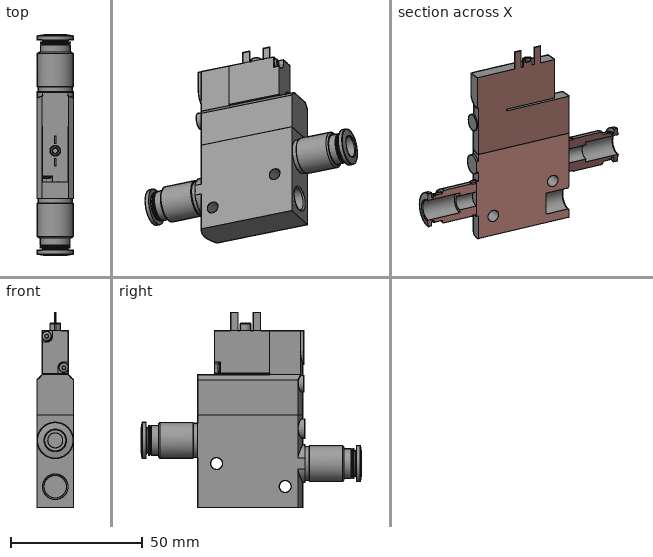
import cadquery as cq
import math


BLOCK_WIDTH = 14.0
BLOCK_SIDE_DEPTH = 37.95
BACK_BULGE = 1.9
SPLIT_HEIGHT = 35.1
BLOCK_HEIGHT = 50.4
TOP_CHAMFER_DROP = 2.0

FRONT_FITTING_HEIGHT = 25.5
BACK_FITTING_HEIGHT = 16.7
LOWER_PORT_HEIGHT = 7.95
PORT_DIAMETER = 8.5
PORT_MOUTH_DIAMETER = 9.7
PORT_DEPTH = 10.0
CROSS_HOLE_DIAMETER = 4.4
CROSS_HOLES = [(7.2, 16.7), (33.2, 8.0)]
FITTING_SEAT = 40.6
SEAT_BOSS_DIAMETER = 14.55

BACK_PAD_PLANE = 40.3
UPPER_DISC_OFFSET = 3.5
UPPER_DISC_DIAMETER = 6.35
UPPER_DISC_HEIGHT = 47.0
LOWER_DISC_OFFSET = 3.0
LOWER_DISC_DIAMETER = 7.4
LOWER_DISC_HEIGHT = 29.9
PILOT_PAD_WIDTH = 9.5
PILOT_PAD_LENGTH = 12.8

PILOT_WIDTH = 9.9
PILOT_TOP = 67.05
PILOT_FRONT = 6.35
PILOT_STEP = 27.25
PILOT_GAP = 0.5
PILOT_SIDE_RELIEF = 0.04

TERMINAL_TOP = 74.0
TERMINAL_WIDTH = 2.85
TERMINAL_THICKNESS = 0.4
TERMINAL_SPACING = 8.5
CONNECTOR_Y = 18.1

HEAD_DIAMETER = 4.0
HEAD_EDGE_DIAMETER = 3.6
SOCKET_MOUTH_DIAMETER = 2.4
SOCKET_DIAMETER = 2.0
SOCKET_DEPTH = 1.25
CONNECTOR_HEAD_HEIGHT = 2.85
CORNER_HEAD_DIAMETER = 3.6
CORNER_HEAD_HEIGHT = 0.9
CORNER_CROWN_DIAMETER = 1.6
CORNER_SOCKET_DIAMETER = 1.3
CORNER_SOCKET_DEPTH = 0.7
CORNER_HEAD_RIM = 0.3
POCKET_DIAMETER = 4.4
POCKET_DEPTH = 2.25
POCKET_SIDE_INSET = 1.7
POCKET_END_INSET = 2.1

NECK_DIAMETER = 13.0
NECK_END = 1.6
SLEEVE_BACK_BEVEL = 0.25
SLEEVE_DIAMETER = 13.7
SLEEVE_TIP_DIAMETER = 12.4
SLEEVE_CHAMFER_START = 14.3
SLEEVE_END = 14.9
RING_DIAMETER = 11.4
RING_GROOVE_DIAMETER = 10.9
RING_GROOVE_START = 17.55
RING_GROOVE_WIDTH = 0.75
RING_GROOVE_FLOOR = 0.3
RING_END = 18.65
COLLET_DIAMETER = 9.7
FLANGE_DIAMETER = 13.8
FLANGE_BACK_DIAMETER = 10.4
FLANGE_BACK_CONE = 0.3
FLANGE_START = 19.5
FLANGE_RIM_END = 20.9
FLANGE_RIM_BEVEL = 0.2
FITTING_LENGTH = 21.5
TUBE_DIAMETER = 8.0
TUBE_MOUTH_DIAMETER = 8.5
TUBE_MOUTH_DEPTH = 0.4
TUBE_STOP_DEPTH = 14.2
FLOW_DIAMETER = 5.7

HALF_WIDTH = BLOCK_WIDTH / 2
PILOT_HALF = PILOT_WIDTH / 2
BACK_APEX = BLOCK_SIDE_DEPTH + BACK_BULGE
BACK_RADIUS = (HALF_WIDTH ** 2 + BACK_BULGE ** 2) / (2 * BACK_BULGE)
BOSS_ROOT = BLOCK_SIDE_DEPTH - BACK_BULGE
PILOT_BOTTOM = BLOCK_HEIGHT + PILOT_GAP


def back_y(x):
    """Y of the arched back at a distance x from the middle plane."""
    return BACK_APEX - BACK_RADIUS + math.sqrt(BACK_RADIUS ** 2 - x ** 2)


def arched_prism(half_width, front, bottom, top):
    """Upright prism with a flat front and the common arched back."""
    return (
        cq.Workplane("XY", origin=(0, 0, bottom))
        .moveTo(-half_width, front)
        .lineTo(half_width, front)
        .lineTo(half_width, back_y(half_width))
        .threePointArc((0, BACK_APEX), (-half_width, back_y(half_width)))
        .close()
        .extrude(top - bottom)
    )


def back_boss(diameter, x, z, face):
    """Round boss growing out of the arched back up to a flat face."""
    return cq.Workplane("XZ", origin=(x, BOSS_ROOT, z)).circle(diameter / 2).extrude(BOSS_ROOT - face)


def within_width(body):
    """Trim a body to the width of the block."""
    slab = cq.Workplane("XY").box(BLOCK_WIDTH, FITTING_SEAT, PILOT_TOP, centered=(True, False, False))
    return body.intersect(slab)


def lower_port():
    """Blind port in the front face with a conical mouth."""
    mouth_depth = (PORT_MOUTH_DIAMETER - PORT_DIAMETER) / 2
    return (
        cq.Workplane("XY")
        .polyline([
            (0, 0),
            (PORT_MOUTH_DIAMETER / 2, 0),
            (PORT_DIAMETER / 2, mouth_depth),
            (PORT_DIAMETER / 2, PORT_DEPTH),
            (0, PORT_DEPTH),
        ])
        .close()
        .revolve(360, (0, 0, 0), (0, 1, 0))
        .translate((0, 0, LOWER_PORT_HEIGHT))
    )


def make_lower_block():
    block = arched_prism(HALF_WIDTH, 0, 0, SPLIT_HEIGHT)
    block = block.union(within_width(back_boss(SEAT_BOSS_DIAMETER, 0, BACK_FITTING_HEIGHT, FITTING_SEAT)))
    block = block.union(back_boss(LOWER_DISC_DIAMETER, LOWER_DISC_OFFSET, LOWER_DISC_HEIGHT, FITTING_SEAT))
    cross_holes = (
        cq.Workplane("YZ")
        .pushPoints(CROSS_HOLES)
        .circle(CROSS_HOLE_DIAMETER / 2)
        .extrude(HALF_WIDTH, both=True)
    )
    return block.cut(lower_port()).cut(cross_holes)


def make_upper_base():
    """Arched block whose two long top edges are chamfered down to the pilot width."""
    base = arched_prism(HALF_WIDTH, 0, SPLIT_HEIGHT, BLOCK_HEIGHT)
    shoulder = BLOCK_HEIGHT - TOP_CHAMFER_DROP
    section = (
        cq.Workplane("XZ")
        .polyline([
            (-HALF_WIDTH, SPLIT_HEIGHT),
            (HALF_WIDTH, SPLIT_HEIGHT),
            (HALF_WIDTH, shoulder),
            (PILOT_HALF, BLOCK_HEIGHT),
            (-PILOT_HALF, BLOCK_HEIGHT),
            (-HALF_WIDTH, shoulder),
        ])
        .close()
        .extrude(-BACK_APEX)
    )
    return base.intersect(section)


def make_pilot():
    """Pilot head: a rear portion on the block and a slightly slimmer overhanging front."""
    rear = arched_prism(PILOT_HALF, PILOT_STEP, BLOCK_HEIGHT, PILOT_TOP)
    front = cq.Workplane("XY", origin=(0, PILOT_FRONT, PILOT_BOTTOM)).box(
        PILOT_WIDTH - 2 * PILOT_SIDE_RELIEF,
        PILOT_STEP - PILOT_FRONT,
        PILOT_TOP - PILOT_BOTTOM,
        centered=(True, False, False),
    )
    return rear.union(front)


def make_pilot_pad():
    """Flat pad on the back of the pilot head with a fully rounded lower end."""
    half = PILOT_PAD_WIDTH / 2
    arc_height = PILOT_TOP - PILOT_PAD_LENGTH + half
    return (
        cq.Workplane("XZ", origin=(0, BOSS_ROOT, 0))
        .moveTo(-half, PILOT_TOP)
        .lineTo(-half, arc_height)
        .threePointArc((0, arc_height - half), (half, arc_height))
        .lineTo(half, PILOT_TOP)
        .close()
        .extrude(BOSS_ROOT - BACK_PAD_PLANE)
    )


def make_terminals():
    """Two flat blades standing on the pilot head."""
    return (
        cq.Workplane("XY", origin=(0, CONNECTOR_Y, PILOT_TOP))
        .pushPoints([(0, -TERMINAL_SPACING / 2), (0, TERMINAL_SPACING / 2)])
        .rect(TERMINAL_THICKNESS, TERMINAL_WIDTH)
        .extrude(TERMINAL_TOP - PILOT_TOP)
    )


def make_connector_screw():
    """Screw head between the terminals, with a bevelled edge and a countersunk socket."""
    head = HEAD_DIAMETER / 2
    edge = HEAD_EDGE_DIAMETER / 2
    mouth = SOCKET_MOUTH_DIAMETER / 2
    socket = SOCKET_DIAMETER / 2
    return (
        cq.Workplane("XZ")
        .polyline([
            (0, 0),
            (head, 0),
            (head, CONNECTOR_HEAD_HEIGHT - (head - edge)),
            (edge, CONNECTOR_HEAD_HEIGHT),
            (mouth, CONNECTOR_HEAD_HEIGHT),
            (socket, CONNECTOR_HEAD_HEIGHT - (mouth - socket)),
            (socket, CONNECTOR_HEAD_HEIGHT - SOCKET_DEPTH),
            (0, CONNECTOR_HEAD_HEIGHT - SOCKET_DEPTH),
        ])
        .close()
        .revolve(360, (0, 0, 0), (0, 1, 0))
        .translate((0, CONNECTOR_Y, PILOT_TOP))
    )


def make_corner_pocket(corner_x, corner_z, side, end):
    """Pocket open to a side and an end of the pilot front; its inner corner is round.

    side and end are the directions (+1 or -1) along X and Z from the screw axis to the corner.
    """
    radius = POCKET_DIAMETER / 2
    x = corner_x - side * POCKET_SIDE_INSET
    z = corner_z - end * POCKET_END_INSET
    outer_x = x + side * POCKET_DIAMETER
    outer_z = z + end * POCKET_DIAMETER
    diagonal = radius * math.sqrt(0.5)
    return (
        cq.Workplane("XZ", origin=(0, PILOT_FRONT, 0))
        .moveTo(outer_x, outer_z)
        .lineTo(x - side * radius, outer_z)
        .lineTo(x - side * radius, z)
        .threePointArc((x - side * diagonal, z - end * diagonal), (x, z - end * radius))
        .lineTo(outer_x, z - end * radius)
        .close()
        .extrude(-POCKET_DEPTH)
    )


def make_corner_screw(corner_x, corner_z, side, end):
    """Round-topped screw head with a socket, on the floor of a corner pocket."""
    head = CORNER_HEAD_DIAMETER / 2
    crown = CORNER_CROWN_DIAMETER / 2
    socket = CORNER_SOCKET_DIAMETER / 2
    socket_floor = CORNER_HEAD_HEIGHT - CORNER_SOCKET_DEPTH
    crown_height = CORNER_HEAD_HEIGHT - CORNER_HEAD_RIM
    bulge = math.sqrt(0.5)
    shoulder = (crown + (head - crown) * bulge, CORNER_HEAD_RIM + crown_height * bulge)
    return (
        cq.Workplane("XY")
        .moveTo(0, 0)
        .lineTo(head, 0)
        .lineTo(head, -CORNER_HEAD_RIM)
        .threePointArc((shoulder[0], -shoulder[1]), (crown, -CORNER_HEAD_HEIGHT))
        .lineTo(socket, -CORNER_HEAD_HEIGHT)
        .lineTo(socket, -socket_floor)
        .lineTo(0, -socket_floor)
        .close()
        .revolve(360, (0, 0, 0), (0, 1, 0))
        .translate((
            corner_x - side * POCKET_SIDE_INSET,
            PILOT_FRONT + POCKET_DEPTH,
            corner_z - end * POCKET_END_INSET,
        ))
    )


def make_upper_block():
    block = make_upper_base().union(make_pilot()).union(make_pilot_pad())
    for x in (-UPPER_DISC_OFFSET, UPPER_DISC_OFFSET):
        block = block.union(back_boss(UPPER_DISC_DIAMETER, x, UPPER_DISC_HEIGHT, BACK_PAD_PLANE))
    corners = [
        (-PILOT_HALF, PILOT_TOP, -1, 1),
        (PILOT_HALF, PILOT_BOTTOM, 1, -1),
    ]
    pilot_front_space = cq.Workplane("XY", origin=(0, 0, PILOT_BOTTOM)).box(
        BLOCK_WIDTH, PILOT_STEP, PILOT_TOP - PILOT_BOTTOM, centered=(True, False, False)
    )
    for corner in corners:
        block = block.cut(make_corner_pocket(*corner).intersect(pilot_front_space))
        block = block.union(make_corner_screw(*corner))
    return block.union(make_terminals()).union(make_connector_screw())


def make_fitting():
    """Push-in fitting along +Y with its seat at the origin and a bore right through."""
    mouth = TUBE_MOUTH_DIAMETER / 2
    flow = FLOW_DIAMETER / 2
    tube = TUBE_DIAMETER / 2
    stop = FITTING_LENGTH - TUBE_STOP_DEPTH
    groove_wall = (RING_GROOVE_WIDTH - RING_GROOVE_FLOOR) / 2
    groove_end = RING_GROOVE_START + RING_GROOVE_WIDTH
    return (
        cq.Workplane("XY")
        .polyline([
            (flow, 0),
            (NECK_DIAMETER / 2, 0),
            (NECK_DIAMETER / 2, NECK_END),
            (SLEEVE_DIAMETER / 2, NECK_END + SLEEVE_BACK_BEVEL),
            (SLEEVE_DIAMETER / 2, SLEEVE_CHAMFER_START),
            (SLEEVE_TIP_DIAMETER / 2, SLEEVE_END),
            (RING_DIAMETER / 2, SLEEVE_END),
            (RING_DIAMETER / 2, RING_GROOVE_START),
            (RING_GROOVE_DIAMETER / 2, RING_GROOVE_START + groove_wall),
            (RING_GROOVE_DIAMETER / 2, groove_end - groove_wall),
            (RING_DIAMETER / 2, groove_end),
            (RING_DIAMETER / 2, RING_END),
            (COLLET_DIAMETER / 2, RING_END),
            (COLLET_DIAMETER / 2, FLANGE_START - FLANGE_BACK_CONE),
            (FLANGE_BACK_DIAMETER / 2, FLANGE_START),
            (FLANGE_DIAMETER / 2, FLANGE_START),
            (FLANGE_DIAMETER / 2, FLANGE_RIM_END),
            (FLANGE_DIAMETER / 2 - FLANGE_RIM_BEVEL, FLANGE_RIM_END + FLANGE_RIM_BEVEL),
            (mouth, FITTING_LENGTH),
            (tube, FITTING_LENGTH - TUBE_MOUTH_DEPTH),
            (tube, stop),
            (flow, stop),
        ])
        .close()
        .revolve(360, (0, 0, 0), (0, 1, 0))
    )


def make_fittings():
    """One fitting on the front face, turned round, and one on the back seat."""
    places = [
        (180, 0, FRONT_FITTING_HEIGHT),
        (0, FITTING_SEAT, BACK_FITTING_HEIGHT),
    ]
    return [
        make_fitting().rotate((0, 0, 0), (0, 0, 1), turn).translate((0, seat_y, z)).val()
        for turn, seat_y, z in places
    ]


lower_block = make_lower_block()
upper_block = make_upper_block()
fittings = make_fittings()

result = cq.Compound.makeCompound([lower_block.val(), upper_block.val(), *fittings])